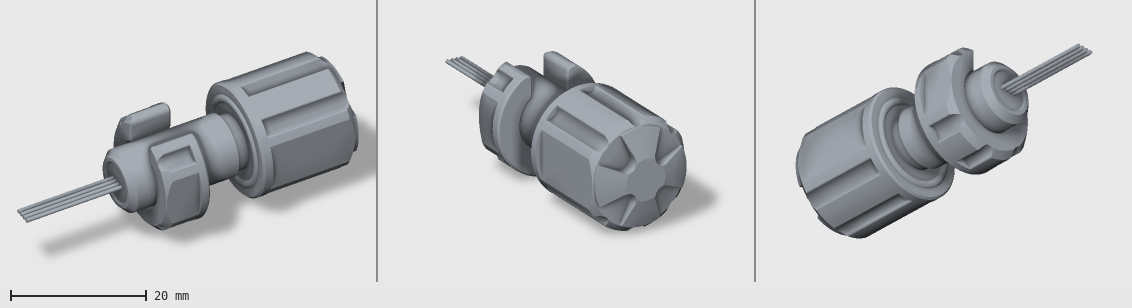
import cadquery as cq
import math


WIRE_LENGTH = 15.75
SHAFT_LENGTH = 18.1
NECK_LENGTH = 1.95
KNOB_LENGTH = 16.05
TOTAL_LENGTH = 53.8

GRIP_RADIUS = 18.0 / 2
FLAT_OFFSET = 8.05
GRIP_CHAMFER = 1.0
RIM_CHAMFER = 0.3
GROOVE_RADIUS = 1.35
GROOVE_CENTER = 9.2
GROOVE_EDGE_ROUND = 0.3
GROOVE_ANGLES = (45, 90, 135, 225, 270, 315)

SHAFT_RADIUS = 5.0
SHAFT_CHAMFER = 1.0
NECK_RADIUS = 4.35
KNOB_FLANGE_THICKNESS = 1.6
RECESS_RADIUS = 3.4
RECESS_DEPTH = 0.25
BEAD_RADIUS = 6.65
BEAD_HALF_WIDTH = 0.65
BEAD_HEIGHT = 0.4

CAP_RADIUS = 7.9
CAP_FLAT_RADIUS = 3.35
CAP_RIM_HEIGHT = 0.6
CAP_NOTCH_ANGLE = 40
CAP_NOTCH_ROUND = 1.5

WIRE_COUNT = 4
WIRE_RADIUS = 0.3
WIRE_PITCH = 0.8

CLIP_FRONT = 19.85
CLIP_LENGTH = 7.0
CLIP_FLANGE_THICKNESS = 1.5
SLOT_HALF_WIDTH = 3.0
PRONG_TOP = 7.85
PRONG_ROUND = 0.95

SHAFT_BACK = WIRE_LENGTH + SHAFT_LENGTH
KNOB_FRONT = SHAFT_BACK + NECK_LENGTH
KNOB_BACK = KNOB_FRONT + KNOB_LENGTH
KNOB_FLANGE_BACK = KNOB_FRONT + KNOB_FLANGE_THICKNESS
CLIP_BACK = CLIP_FRONT + CLIP_LENGTH
CLIP_FLANGE_FRONT = CLIP_BACK - CLIP_FLANGE_THICKNESS


def turned(points):
    """Solid of revolution about Y from (radius, y) points."""
    return cq.Workplane("XY").polyline(points).close().revolve(360, (0, 0, 0), (0, 1, 0))


def section(y):
    """Sketch plane across the axis at y, with local axes X and Z; extrude(-d) goes toward +Y."""
    return cq.Workplane("XZ", origin=(0, y, 0))


def groove_cutter(y_start, y_end):
    """Round-bottomed groove at the top (+Z) of the grip, its edges rounded onto the grip."""
    reach = GROOVE_RADIUS + GROOVE_EDGE_ROUND
    depth_radius = GRIP_RADIUS - GROOVE_EDGE_ROUND
    round_z = (depth_radius**2 + GROOVE_CENTER**2 - reach**2) / (2 * GROOVE_CENTER)
    round_x = math.sqrt(depth_radius**2 - round_z**2)

    def on_round(angle):
        return (
            round_x + GROOVE_EDGE_ROUND * math.cos(angle),
            round_z + GROOVE_EDGE_ROUND * math.sin(angle),
        )

    def mirrored(point):
        return (-point[0], point[1])

    grip_angle = math.atan2(round_z, round_x)
    groove_angle = math.atan2(GROOVE_CENTER - round_z, -round_x)
    grip_edge = on_round(grip_angle)
    edge_middle = on_round((grip_angle + groove_angle) / 2)
    groove_edge = on_round(groove_angle)
    bottom = (0, GROOVE_CENTER - GROOVE_RADIUS)
    outside = (grip_edge[0], GRIP_RADIUS + GROOVE_RADIUS)

    return (
        section(y_start)
        .moveTo(*outside)
        .lineTo(*grip_edge)
        .threePointArc(edge_middle, groove_edge)
        .threePointArc(bottom, mirrored(groove_edge))
        .threePointArc(mirrored(edge_middle), mirrored(grip_edge))
        .lineTo(*mirrored(outside))
        .close()
        .extrude(y_start - y_end)
    )


def cut_grip(body, y_start, y_end):
    """Cut the side flats and the grooves between y_start and y_end."""
    length = y_end - y_start
    for side in (-1, 1):
        flat = cq.Workplane("XY").box(
            GRIP_RADIUS, length, 2 * GRIP_RADIUS, centered=(True, False, True)
        )
        body = body.cut(flat.translate((side * (FLAT_OFFSET + GRIP_RADIUS / 2), y_start, 0)))
    groove = groove_cutter(y_start, y_end)
    for angle in GROOVE_ANGLES:
        body = body.cut(groove.rotate((0, 0, 0), (0, 1, 0), 90 - angle))
    return body


def make_knob():
    body = turned([
        (0, KNOB_FRONT),
        (GRIP_RADIUS - RIM_CHAMFER, KNOB_FRONT),
        (GRIP_RADIUS, KNOB_FRONT + RIM_CHAMFER),
        (GRIP_RADIUS, KNOB_BACK - GRIP_CHAMFER),
        (GRIP_RADIUS - GRIP_CHAMFER, KNOB_BACK),
        (0, KNOB_BACK),
    ])
    return cut_grip(body, KNOB_FLANGE_BACK, KNOB_BACK)


def make_bead():
    """Raised ring on the front face of the knob flange."""
    return (
        cq.Workplane("XY")
        .moveTo(BEAD_RADIUS - BEAD_HALF_WIDTH, KNOB_FRONT)
        .threePointArc(
            (BEAD_RADIUS, KNOB_FRONT - BEAD_HEIGHT), (BEAD_RADIUS + BEAD_HALF_WIDTH, KNOB_FRONT)
        )
        .close()
        .revolve(360, (0, 0, 0), (0, 1, 0))
    )


def make_cap():
    """Coned disc with four rounded wedge notches, leaving four flared arms."""
    cap = turned([
        (0, KNOB_BACK),
        (CAP_RADIUS, KNOB_BACK),
        (CAP_RADIUS, KNOB_BACK + CAP_RIM_HEIGHT),
        (CAP_FLAT_RADIUS, TOTAL_LENGTH),
        (0, TOTAL_LENGTH),
    ])
    half_angle = math.radians(CAP_NOTCH_ANGLE / 2)
    round_center = CAP_NOTCH_ROUND / math.sin(half_angle)
    tangent_x = round_center - CAP_NOTCH_ROUND * math.sin(half_angle)
    tangent_z = CAP_NOTCH_ROUND * math.cos(half_angle)
    end_x = 2 * CAP_RADIUS
    end_z = end_x * math.tan(half_angle)
    notch = (
        section(KNOB_BACK)
        .moveTo(end_x, end_z)
        .lineTo(tangent_x, tangent_z)
        .threePointArc((round_center - CAP_NOTCH_ROUND, 0), (tangent_x, -tangent_z))
        .lineTo(end_x, -end_z)
        .close()
        .extrude(KNOB_BACK - TOTAL_LENGTH)
    )
    for angle in (45, 135, 225, 315):
        cap = cap.cut(notch.rotate((0, 0, 0), (0, 1, 0), angle))
    return cap


def make_shaft():
    """Shaft and neck, with a chamfered front edge and a shallow dished end."""
    floor = WIRE_LENGTH + RECESS_DEPTH
    return turned([
        (0, floor),
        (RECESS_RADIUS - RECESS_DEPTH, floor),
        (RECESS_RADIUS, WIRE_LENGTH),
        (SHAFT_RADIUS - SHAFT_CHAMFER, WIRE_LENGTH),
        (SHAFT_RADIUS, WIRE_LENGTH + SHAFT_CHAMFER),
        (SHAFT_RADIUS, SHAFT_BACK),
        (NECK_RADIUS, SHAFT_BACK),
        (NECK_RADIUS, KNOB_FRONT),
        (0, KNOB_FRONT),
    ])


def make_connector():
    connector = make_knob().union(make_bead()).union(make_cap()).union(make_shaft())
    for index in range(WIRE_COUNT):
        x = (index - (WIRE_COUNT - 1) / 2) * WIRE_PITCH
        wire = section(0).center(x, 0).circle(WIRE_RADIUS).extrude(-SHAFT_BACK)
        connector = connector.union(wire)
    return connector


def make_clip():
    """C-shaped clip that snaps over the shaft, open at the top."""
    clip = section(CLIP_FRONT).circle(GRIP_RADIUS).circle(SHAFT_RADIUS).extrude(-CLIP_LENGTH)

    slot_size = (2 * SLOT_HALF_WIDTH, CLIP_LENGTH, GRIP_RADIUS)
    slot = cq.Workplane("XY").box(*slot_size, centered=(True, False, False))
    trim_size = (2 * GRIP_RADIUS, CLIP_LENGTH, GRIP_RADIUS)
    trim = cq.Workplane("XY").box(*trim_size, centered=(True, False, False))
    clip = clip.cut(slot.translate((0, CLIP_FRONT, 0)))
    clip = clip.cut(trim.translate((0, CLIP_FRONT, PRONG_TOP)))
    for side in (-1, 1):
        corner = (side * SLOT_HALF_WIDTH, CLIP_FRONT + CLIP_LENGTH / 2, PRONG_TOP)
        clip = clip.edges(cq.selectors.NearestToPointSelector(corner)).fillet(PRONG_ROUND)

    clip = clip.faces(">Y").chamfer(RIM_CHAMFER)

    flare_back = CLIP_FRONT + RIM_CHAMFER
    bore_flare = turned([
        (0, CLIP_FRONT),
        (SHAFT_RADIUS + RIM_CHAMFER, CLIP_FRONT),
        (SHAFT_RADIUS, flare_back),
        (0, flare_back),
    ])
    slot_flare = (
        cq.Workplane("XY")
        .polyline([
            (-SLOT_HALF_WIDTH - RIM_CHAMFER, CLIP_FRONT),
            (SLOT_HALF_WIDTH + RIM_CHAMFER, CLIP_FRONT),
            (SLOT_HALF_WIDTH, flare_back),
            (-SLOT_HALF_WIDTH, flare_back),
        ])
        .close()
        .extrude(GRIP_RADIUS)
    )
    clip = clip.cut(bore_flare).cut(slot_flare)

    envelope = turned([
        (0, CLIP_FRONT),
        (GRIP_RADIUS - GRIP_CHAMFER, CLIP_FRONT),
        (GRIP_RADIUS, CLIP_FRONT + GRIP_CHAMFER),
        (GRIP_RADIUS, CLIP_BACK),
        (0, CLIP_BACK),
    ])
    clip = clip.intersect(envelope)
    return cut_grip(clip, CLIP_FRONT, CLIP_FLANGE_FRONT)


connector = make_connector()
clip = make_clip()

result = cq.Compound.makeCompound([connector.solids().val(), clip.solids().val()])